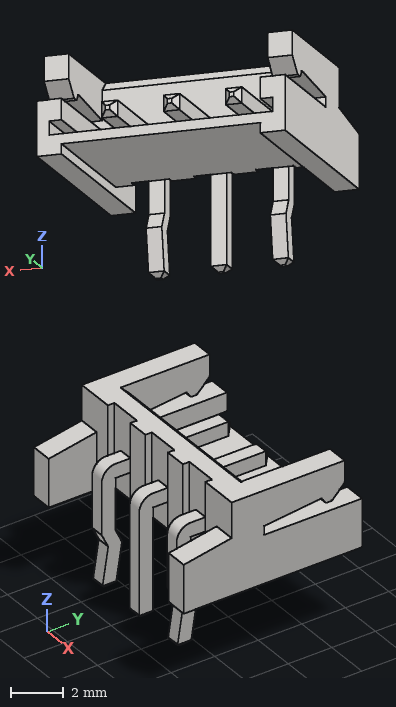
import cadquery as cq


width = 10.0
side_thickness = 1.0
front_y = 6.0
flange_y = -2.2
side_top_z = 2.2
top_z = 4.2
inner_width = width - 2 * side_thickness

floor_bottom_z = 0.4
floor_top_z = 0.8
wall_thickness = 1.5
wall_lead_in = 0.4

arm_end_y = 5.2
arm_end_bottom_z = 3.2
arm_bottom_z = 2.6
hook_tip_front_y = 4.6
hook_tip_back_y = 4.33
hook_back_y = 4.13
hook_back_z = 2.88

groove_top_z = 1.35
groove_depth = 0.5

notch_width = 1.5
notch_depth = 0.3

pin_count = 3
pitch = 2.5
pin_size = 0.64
pin_top_z = 2.28
pin_outer_y = -1.02
contact_end_y = 5.03
contact_tip_length = 0.23
tail_end_z = -3.2
tail_tip_length = 0.2
tip_taper = 45
kink_start_z = -0.7
kink_z = -1.32
kink_offset = 0.30
kink_end_offset = 0.04

pin_bottom_z = pin_top_z - pin_size
pin_inner_y = pin_outer_y + pin_size
contact_shoulder_y = contact_end_y - contact_tip_length
tail_shoulder_z = tail_end_z + tail_tip_length
pin_positions = [(i - (pin_count - 1) / 2) * pitch for i in range(pin_count)]


def box(x_range, y_range, z_range):
    """Axis-aligned block spanning the three given (low, high) ranges."""
    lows, highs = zip(x_range, y_range, z_range)
    sizes = [high - low for low, high in zip(lows, highs)]
    return cq.Workplane("XY").box(*sizes, centered=False).translate(lows)


def extrude_along_x(outline, length, center_x):
    """Extrude a closed YZ outline symmetrically about center_x."""
    return outline.extrude(length / 2, both=True).translate((center_x, 0, 0))


def make_side(direction):
    """One side with its sloped rear flange, hooked latch arm and inner groove."""
    outline = cq.Workplane("YZ").polyline([
        (front_y, 0),
        (front_y, side_top_z),
        (wall_thickness, side_top_z),
        (wall_thickness, arm_bottom_z),
        (hook_back_y, hook_back_z),
        (hook_tip_back_y, arm_bottom_z),
        (hook_tip_front_y, arm_bottom_z),
        (arm_end_y, arm_end_bottom_z),
        (arm_end_y, top_z),
        (0, top_z),
        (0, arm_bottom_z),
        (flange_y, side_top_z),
        (flange_y, 0),
    ]).close()
    side = extrude_along_x(outline, side_thickness, direction * (width - side_thickness) / 2)
    groove_edges = sorted([direction * inner_width / 2, direction * (inner_width / 2 + groove_depth)])
    groove = box(groove_edges, (wall_thickness, front_y), (floor_top_z, groove_top_z))
    return side.cut(groove)


def make_center():
    """Floor and back wall, with a lead-in along the wall's inner top edge."""
    outline = cq.Workplane("YZ").polyline([
        (0, floor_bottom_z),
        (front_y, floor_bottom_z),
        (front_y, floor_top_z),
        (wall_thickness, floor_top_z),
        (wall_thickness, top_z - wall_lead_in),
        (wall_thickness - wall_lead_in, top_z),
        (0, top_z),
    ]).close()
    return extrude_along_x(outline, inner_width, 0)


def make_notch(x):
    """Full-height cutter for the wall notch behind the pin at x."""
    return box((x - notch_width / 2, x + notch_width / 2), (0, notch_depth), (floor_bottom_z, top_z))


def make_tip(plane, length):
    """Tapered end of a pin, growing along the normal of the plane."""
    return cq.Workplane(plane).rect(pin_size, pin_size).extrude(length, taper=tip_taper)


def make_pin(x, kinked):
    """Right-angle pin with a rounded outer bend; a kinked tail springs into its board hole."""
    kink_points = [(kink_start_z, 0), (kink_z, kink_offset)] if kinked else []
    end_offset = kink_end_offset if kinked else 0
    tail_points = kink_points + [(tail_shoulder_z, end_offset)]

    outline = cq.Workplane("YZ").moveTo(contact_shoulder_y, pin_bottom_z)
    outline = outline.lineTo(contact_shoulder_y, pin_top_z).lineTo(pin_inner_y, pin_top_z)
    outline = outline.radiusArc((pin_outer_y, pin_bottom_z), -pin_size)
    for z, offset in tail_points:
        outline = outline.lineTo(pin_outer_y + offset, z)
    for z, offset in reversed(tail_points):
        outline = outline.lineTo(pin_inner_y + offset, z)
    outline = outline.lineTo(pin_inner_y, pin_bottom_z).close()
    pin = extrude_along_x(outline, pin_size, x)

    contact_plane = cq.Plane((x, contact_shoulder_y, pin_top_z - pin_size / 2), (1, 0, 0), (0, 1, 0))
    tail_center_y = pin_outer_y + pin_size / 2 + end_offset
    tail_plane = cq.Plane((x, tail_center_y, tail_shoulder_z), (1, 0, 0), (0, 0, -1))
    contact_tip = make_tip(contact_plane, contact_tip_length)
    tail_tip = make_tip(tail_plane, tail_tip_length)
    return pin.union(contact_tip).union(tail_tip)


result = make_center()
for side_direction in (-1, 1):
    result = result.union(make_side(side_direction))
for pin_x in pin_positions:
    result = result.cut(make_notch(pin_x))
for pin_x in pin_positions:
    result = result.union(make_pin(pin_x, kinked=pin_x in (pin_positions[0], pin_positions[-1])))